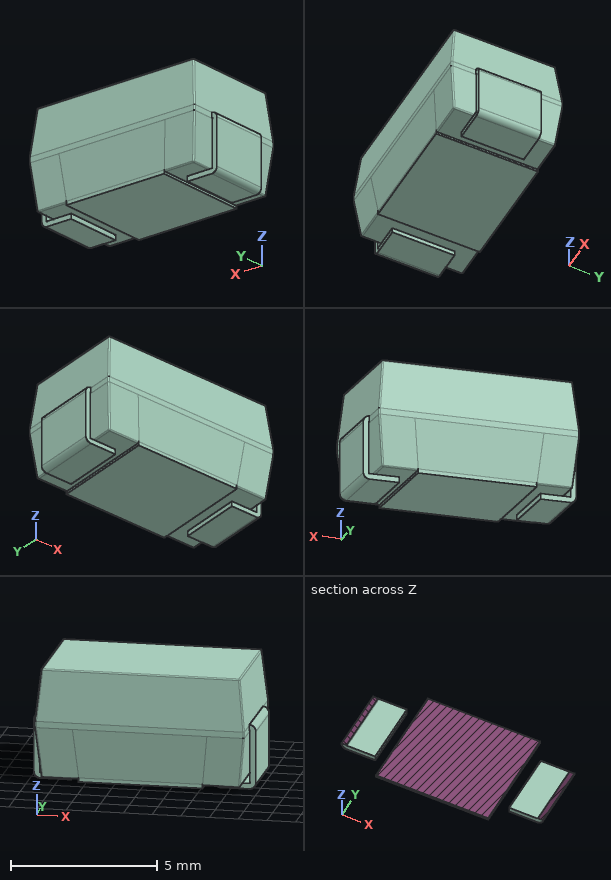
import cadquery as cq
import math

TOTAL_LENGTH = 7.74
TOTAL_HEIGHT = 4.1

HOUSING_LENGTH = 7.3
HOUSING_WIDTH = 4.3
HOUSING_BOTTOM = 0.25
DRAFT_ANGLE = 6.0
EDGE_RADIUS = 0.05

PAD_LENGTH = 4.32
PAD_BOTTOM = 0.15
PAD_SHOULDER = 0.3

LEAD_THICKNESS = 0.2
LEAD_WIDTH = 2.4
LEAD_TOP = 2.28
FOOT_LENGTH = 1.3

BEND_OUTER_RADIUS = (TOTAL_LENGTH - HOUSING_LENGTH) / 2
BEND_INNER_RADIUS = BEND_OUTER_RADIUS - LEAD_THICKNESS

BAND_TOP = LEAD_TOP
BAND_BOTTOM = LEAD_TOP - BEND_OUTER_RADIUS


def drafted_block(length, width, start, end):
    """Block from a rectangle at height start, narrowing on all four sides to height end."""
    narrowing = 2 * abs(end - start) * math.tan(math.radians(DRAFT_ANGLE))
    return (
        cq.Workplane("XY", origin=(0, 0, start))
        .rect(length, width)
        .workplane(offset=end - start)
        .rect(length - narrowing, width - narrowing)
        .loft(ruled=True)
    )


def make_pad():
    """Standoff pad: drafted flush with the housing sides, then straight below the shoulder."""
    narrowing = 2 * (BAND_BOTTOM - PAD_SHOULDER) * math.tan(math.radians(DRAFT_ANGLE))
    drafted = drafted_block(PAD_LENGTH + narrowing, HOUSING_WIDTH, BAND_BOTTOM, PAD_SHOULDER)
    straight = (
        cq.Workplane("XY", origin=(0, 0, PAD_BOTTOM))
        .rect(PAD_LENGTH, HOUSING_WIDTH - narrowing)
        .extrude(PAD_SHOULDER - PAD_BOTTOM)
    )
    return drafted.union(straight)


def make_housing():
    """Moulded housing: straight band, drafted halves above and below, and the pad."""
    band = (
        cq.Workplane("XY", origin=(0, 0, BAND_BOTTOM))
        .rect(HOUSING_LENGTH, HOUSING_WIDTH)
        .extrude(BAND_TOP - BAND_BOTTOM)
    )
    upper = drafted_block(HOUSING_LENGTH, HOUSING_WIDTH, BAND_TOP, TOTAL_HEIGHT)
    lower = drafted_block(HOUSING_LENGTH, HOUSING_WIDTH, BAND_BOTTOM, HOUSING_BOTTOM)
    shell = band.union(upper).union(lower)

    corner_edges = shell.edges("not #Z")
    rim_edges = shell.faces("<Z or >Z").edges()
    shell = corner_edges.add(rim_edges).fillet(EDGE_RADIUS)

    return shell.union(make_pad(), clean=False).solids()


def make_lead(side):
    """C-shaped lead at one end: side is -1 for the -X end, +1 for the +X end."""
    outer = TOTAL_LENGTH / 2
    inner = outer - LEAD_THICKNESS
    bend_x = outer - BEND_OUTER_RADIUS
    foot_end = outer - FOOT_LENGTH
    upper_bend_z = LEAD_TOP - BEND_OUTER_RADIUS
    strip_underside = LEAD_TOP - LEAD_THICKNESS
    lower_bend_z = BEND_OUTER_RADIUS
    diagonal = math.sqrt(0.5)

    def bend_point(radius, center_z, up):
        return (side * (bend_x + radius * diagonal), center_z + up * radius * diagonal)

    return (
        cq.Workplane("XZ")
        .moveTo(side * bend_x, LEAD_TOP)
        .threePointArc(bend_point(BEND_OUTER_RADIUS, upper_bend_z, 1), (side * outer, upper_bend_z))
        .lineTo(side * outer, lower_bend_z)
        .threePointArc(bend_point(BEND_OUTER_RADIUS, lower_bend_z, -1), (side * bend_x, 0))
        .lineTo(side * foot_end, 0)
        .lineTo(side * foot_end, LEAD_THICKNESS)
        .lineTo(side * bend_x, LEAD_THICKNESS)
        .threePointArc(bend_point(BEND_INNER_RADIUS, lower_bend_z, -1), (side * inner, lower_bend_z))
        .lineTo(side * inner, upper_bend_z)
        .threePointArc(bend_point(BEND_INNER_RADIUS, upper_bend_z, 1), (side * bend_x, strip_underside))
        .close()
        .extrude(LEAD_WIDTH / 2, both=True)
    )


housing = make_housing()
leads = [make_lead(side) for side in (-1, 1)]

result = cq.Compound.makeCompound([housing.val(), *[lead.val() for lead in leads]])